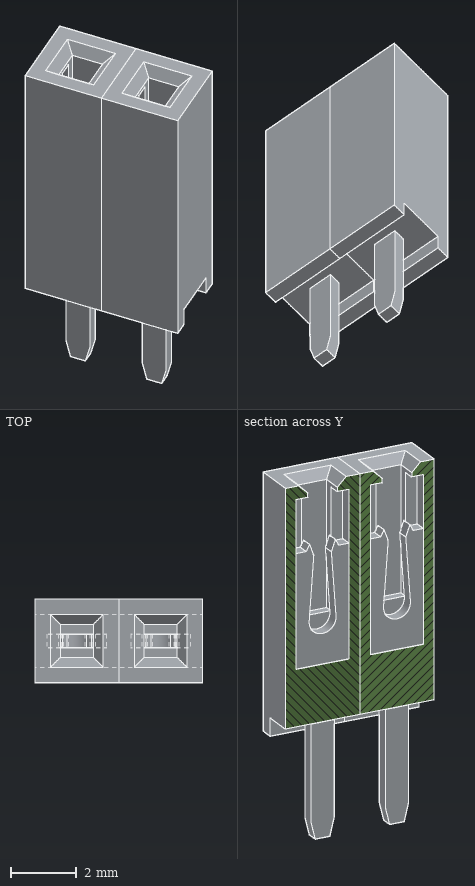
import cadquery as cq

MODULE_COUNT = 2
PITCH = 2.54

HOUSING_HEIGHT = 8.5
FOOT_HEIGHT = 0.6
CHANNEL_WIDTH = 1.6

SOCKET_WIDTH = 1.0
LEAD_IN = 0.3
SOCKET_FLOOR_Z = 4.0

CONTACT_THICKNESS = 0.4
CROWN_Z = 6.5
CROWN_HALF_GAP = 0.44
LEAD_DEPTH = 0.38
SHOULDER_RUN = 0.12
SHOULDER_DROP = 0.21
PINCH_HALF_GAP = 0.3
FORK_ROOT_RADIUS = 0.46
FORK_ROOT_Z = 3.5

SLOT_LENGTH = 1.8
SLOT_CLEARANCE = 0.015
SLOT_BOTTOM_Z = 2.5
SLOT_CEILING_DROP = 0.15
SLOT_TOP_Z = HOUSING_HEIGHT - LEAD_IN - SLOT_CEILING_DROP

PIN_WIDTH = 0.8
PIN_LENGTH = 3.2
PIN_TIP_WIDTH = 0.5
PIN_TIP_LENGTH = 0.6


def box(width, depth, bottom, top):
    """Block centred on the Z axis, between two heights."""
    return cq.Workplane("XY").workplane(offset=bottom).rect(width, depth).extrude(top - bottom)


def make_housing():
    block = box(PITCH, PITCH, 0, HOUSING_HEIGHT)
    channel = box(PITCH, CHANNEL_WIDTH, 0, FOOT_HEIGHT)
    socket = box(SOCKET_WIDTH, SOCKET_WIDTH, SOCKET_FLOOR_Z, HOUSING_HEIGHT)
    slot_width = CONTACT_THICKNESS + 2 * SLOT_CLEARANCE
    slot = box(SLOT_LENGTH, slot_width, SLOT_BOTTOM_Z, SLOT_TOP_Z)
    opening = SOCKET_WIDTH + 2 * LEAD_IN
    funnel = (
        cq.Workplane("XY")
        .workplane(offset=HOUSING_HEIGHT)
        .rect(opening, opening)
        .workplane(offset=-LEAD_IN)
        .rect(SOCKET_WIDTH, SOCKET_WIDTH)
        .loft(ruled=True)
    )
    return block.cut(channel).cut(socket).cut(slot).cut(funnel)


def make_fork():
    """Two pointed tines that pinch together above a round-bottomed gap."""
    pinch_z = CROWN_Z - LEAD_DEPTH
    shoulder_z = CROWN_Z - SHOULDER_DROP
    shoulder_x = CROWN_HALF_GAP + SHOULDER_RUN
    root_center_z = FORK_ROOT_Z + FORK_ROOT_RADIUS
    half_length = SLOT_LENGTH / 2
    return (
        cq.Workplane("XZ")
        .moveTo(-half_length, SLOT_BOTTOM_Z)
        .lineTo(-half_length, shoulder_z)
        .lineTo(-shoulder_x, shoulder_z)
        .lineTo(-CROWN_HALF_GAP, CROWN_Z)
        .lineTo(-PINCH_HALF_GAP, pinch_z)
        .lineTo(-FORK_ROOT_RADIUS, root_center_z)
        .threePointArc((0, FORK_ROOT_Z), (FORK_ROOT_RADIUS, root_center_z))
        .lineTo(PINCH_HALF_GAP, pinch_z)
        .lineTo(CROWN_HALF_GAP, CROWN_Z)
        .lineTo(shoulder_x, shoulder_z)
        .lineTo(half_length, shoulder_z)
        .lineTo(half_length, SLOT_BOTTOM_Z)
        .close()
        .extrude(CONTACT_THICKNESS / 2, both=True)
    )


def make_pin():
    """Flat pin below the housing, with its two narrow sides tapered at the tip."""
    half_width = PIN_WIDTH / 2
    half_tip = PIN_TIP_WIDTH / 2
    taper_z = -PIN_LENGTH + PIN_TIP_LENGTH
    return (
        cq.Workplane("XZ")
        .moveTo(-half_width, FOOT_HEIGHT)
        .lineTo(-half_width, taper_z)
        .lineTo(-half_tip, -PIN_LENGTH)
        .lineTo(half_tip, -PIN_LENGTH)
        .lineTo(half_width, taper_z)
        .lineTo(half_width, FOOT_HEIGHT)
        .close()
        .extrude(CONTACT_THICKNESS / 2, both=True)
    )


def make_module(center_x):
    """One way of the strip: housing, fork and pin as a single solid."""
    module = make_housing().union(make_fork()).union(make_pin())
    return module.translate((center_x, 0, 0))


first_center_x = -PITCH * (MODULE_COUNT - 1) / 2
modules = [make_module(first_center_x + i * PITCH) for i in range(MODULE_COUNT)]

result = cq.Compound.makeCompound([module.val() for module in modules])